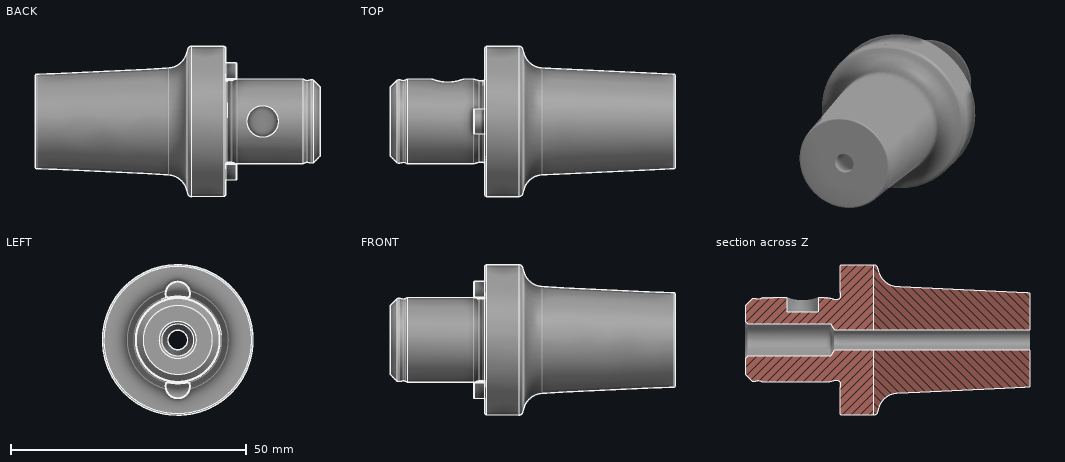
import cadquery as cq
import math

total_length = 60.5

shank_radius = 9.0
tip_radius = 7.3
tip_chamfer_end = 1.45
lead_land_start = 1.8
lead_land_end = 2.0
groove_start = 2.7
groove_end = 2.9
groove_lip = 3.25
shank_start = 3.6
tip_chamfer_drop = 0.21
lead_land_drop = 0.135
groove_drop = 0.3
groove_lip_drop = 0.195

undercut_start = 17.65
undercut_floor_start = 18.95
undercut_corner_start = 19.65
undercut_corner_radius = 0.56
undercut_shank_slope = math.radians(15)
undercut_face_slope = math.radians(8)

flange_radius = 32.0 / 2
flange_face = 20.0
flange_chamfer = 0.35
joint_x = 27.3

rim_radius = 0.9
throat_radius = 4.2
taper_start = 32.25
taper_start_radius = 11.4
taper_end_radius = 10.05
taper_end_fillet = 0.35

bore_radius = 3.4
bore_mouth_radius = 3.95
bore_depth = 18.15
drill_point_half_angle = math.radians(59)
through_radius = 2.05

recess_x = 12.2
recess_radius = 3.3
recess_depth = 3.0

pin_radius = 2.65
pin_center = 9.8
pin_start = undercut_start
pin_hole_depth = 3.0
pin_seat_radius = 9.15
pin_face_chamfer = 0.2
pin_corner_chamfer = 0.35


def point_on(center, radius, angle):
    """Point at an angle, in radians from +X, on a circle in the turning plane."""
    return (center[0] + radius * math.cos(angle), center[1] + radius * math.sin(angle))


def turned(outline):
    """Solid of revolution of a half outline about the X axis."""
    return outline.close().revolve(360, (0, 0), (1, 0))


def make_drive_pin(roll):
    """Round pin hollowed underneath to clear the shank, rolled about the X axis into place."""
    length = flange_face + pin_hole_depth - pin_start
    pin_plane = cq.Workplane("YZ", origin=(pin_start, 0, 0))
    rod = pin_plane.center(0, pin_center).circle(pin_radius).extrude(length)
    shank_clearance = pin_plane.circle(pin_seat_radius).extrude(length)
    pin = rod.cut(shank_clearance)
    pin = pin.edges("|X").edges("<Z").chamfer(pin_corner_chamfer)
    pin = pin.faces("<X").chamfer(pin_face_chamfer)
    return pin.rotate((0, 0, 0), (1, 0, 0), roll)


def make_axial_hole():
    mouth_depth = bore_mouth_radius - bore_radius
    point_end = bore_depth + (bore_radius - through_radius) / math.tan(drill_point_half_angle)
    return turned(
        cq.Workplane("XZ")
        .lineTo(0, bore_mouth_radius)
        .lineTo(mouth_depth, bore_radius)
        .lineTo(bore_depth, bore_radius)
        .lineTo(point_end, through_radius)
        .lineTo(total_length, through_radius)
        .lineTo(total_length, 0)
    )


def make_radial_recess():
    return (
        cq.Workplane("XZ", origin=(recess_x, shank_radius, 0))
        .circle(recess_radius)
        .extrude(recess_depth)
    )


def make_adapter():
    """Shank and front part of the flange, turned as one piece."""
    slope_end_x = undercut_floor_start - undercut_corner_radius * math.sin(undercut_shank_slope)
    slope_end_radius = shank_radius - (slope_end_x - undercut_start) * math.tan(undercut_shank_slope)
    floor_radius = slope_end_radius - undercut_corner_radius * (1 - math.cos(undercut_shank_slope))
    blend_center = (undercut_floor_start, floor_radius + undercut_corner_radius)
    blend_middle = point_on(blend_center, undercut_corner_radius, -(math.pi + undercut_shank_slope) / 2)

    corner_center = (undercut_corner_start, floor_radius + undercut_corner_radius)
    corner_middle = point_on(corner_center, undercut_corner_radius, (undercut_face_slope - math.pi / 2) / 2)
    corner_end = point_on(corner_center, undercut_corner_radius, undercut_face_slope)
    face_inner_radius = corner_end[1] + (corner_end[0] - flange_face) / math.tan(undercut_face_slope)

    return turned(
        cq.Workplane("XZ")
        .lineTo(0, tip_radius)
        .lineTo(tip_chamfer_end, shank_radius - tip_chamfer_drop)
        .lineTo(lead_land_start, shank_radius - lead_land_drop)
        .lineTo(lead_land_end, shank_radius - lead_land_drop)
        .lineTo(groove_start, shank_radius - groove_drop)
        .lineTo(groove_end, shank_radius - groove_drop)
        .lineTo(groove_lip, shank_radius - groove_lip_drop)
        .lineTo(shank_start, shank_radius)
        .lineTo(undercut_start, shank_radius)
        .lineTo(slope_end_x, slope_end_radius)
        .threePointArc(blend_middle, (undercut_floor_start, floor_radius))
        .lineTo(undercut_corner_start, floor_radius)
        .threePointArc(corner_middle, corner_end)
        .lineTo(flange_face, face_inner_radius)
        .lineTo(flange_face, flange_radius - flange_chamfer)
        .lineTo(flange_face + flange_chamfer, flange_radius)
        .lineTo(joint_x, flange_radius)
        .lineTo(joint_x, 0)
    )


def make_blank():
    """Tapered blank; its shoulder is the common tangent of the rim and throat arcs."""
    taper_angle = math.atan2(taper_start_radius - taper_end_radius, total_length - taper_start)
    taper_normal = math.pi / 2 - taper_angle
    rim_center = (joint_x, flange_radius - rim_radius)
    throat_center = point_on((taper_start, taper_start_radius), throat_radius, taper_normal)
    offset_x = throat_center[0] - rim_center[0]
    offset_r = throat_center[1] - rim_center[1]
    shoulder_normal = math.atan2(offset_r, offset_x) + math.acos(
        (rim_radius + throat_radius) / math.hypot(offset_x, offset_r)
    )

    rim_middle = point_on(rim_center, rim_radius, (math.pi / 2 + shoulder_normal) / 2)
    rim_end = point_on(rim_center, rim_radius, shoulder_normal)
    throat_begin = point_on(throat_center, -throat_radius, shoulder_normal)
    throat_middle = point_on(throat_center, -throat_radius, (shoulder_normal + taper_normal) / 2)

    blank = turned(
        cq.Workplane("XY")
        .moveTo(joint_x, 0)
        .lineTo(joint_x, flange_radius)
        .threePointArc(rim_middle, rim_end)
        .lineTo(*throat_begin)
        .threePointArc(throat_middle, (taper_start, taper_start_radius))
        .lineTo(total_length, taper_end_radius)
        .lineTo(total_length, 0)
    )
    return blank.faces(">X").edges().fillet(taper_end_fillet)


drive_pins = [make_drive_pin(roll) for roll in (0, 180)]
axial_hole = make_axial_hole()

adapter = make_adapter().cut(axial_hole).cut(make_radial_recess())
for pin in drive_pins:
    adapter = adapter.cut(pin)

blank = make_blank().cut(axial_hole)

result = cq.Compound.makeCompound([adapter.val(), blank.val(), *[pin.val() for pin in drive_pins]])